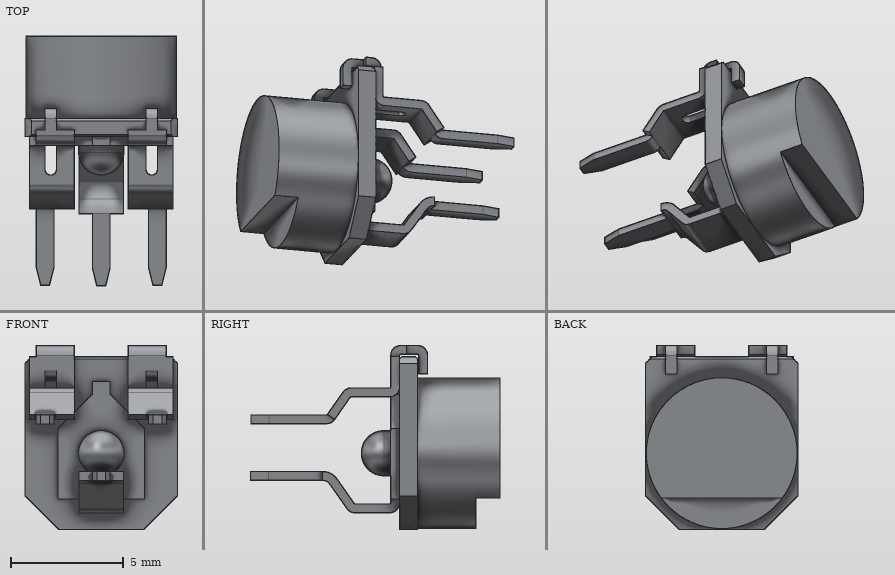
import cadquery as cq
import math


plate_half_width = 3.4
plate_thickness = 0.8
plate_top = 4.3
plate_bottom = -3.4
bottom_chamfer = 1.5
top_corner_chamfer = 0.3
top_edge_chamfer = 0.1

housing_radius = 3.36
housing_depth = 3.68
step_depth = 1.08
step_level = -2.0

sheet = 0.4
inner_bend = 0.05
middle_bend = inner_bend + sheet / 2
outer_bend = inner_bend + sheet
leg_angle = 55.0
sheet_middle = -sheet / 2

pin_width = 0.8
tip_width = 0.4
tip_length = 0.8

tab_inner = 1.2
tab_outer = 3.2
hook_outer = 2.9
side_pin_inner = 2.1
side_leg_z = 2.705
side_pin_z = 1.51
side_leg_corner = 2.29
side_pin_end = 6.62

slot_inner = 2.0
slot_width = 0.5
slot_end = 1.71
slot_round_top = 3.67
hook_middle_z = 4.6
hook_step = 0.3
tongue_bottom = 3.53
tongue_middle = plate_thickness + middle_bend

wiper_half_width = 1.93
wiper_bottom = -2.03
wiper_shoulder = 1.1
wiper_neck = 2.62
wiper_top = 3.2
centre_leg_half_width = 1.0
centre_leg_top = 0.0
centre_leg_z = -2.46
centre_pin_z = -1.015
centre_leg_corner = 2.11
centre_pin_bend = 0.57
shoulder_land = 0.02
centre_pin_end = 6.65

dome_radius = 1.01
dome_centre = -0.7


def tangent_length(radius, turn_degrees):
    """Distance from a corner to the start of the arc that rounds it."""
    return radius * math.tan(math.radians(turn_degrees) / 2)


def toward(start, target, distance):
    """Point at a distance from start on the line to target."""
    length = math.dist(start, target)
    return tuple(s + (t - s) * distance / length for s, t in zip(start, target))


def bent_strip(points, radii, x_min, x_max):
    """Sheet strip whose middle line follows (y, z) points, rounded at each inner point."""
    path = cq.Workplane("YZ", origin=((x_min + x_max) / 2, 0, 0)).moveTo(*points[0])
    for before, corner, after, radius in zip(points, points[1:], points[2:], radii):
        heading_in = math.atan2(corner[1] - before[1], corner[0] - before[0])
        heading_out = math.atan2(after[1] - corner[1], after[0] - corner[0])
        turn = math.remainder(heading_out - heading_in, 2 * math.pi)
        setback = tangent_length(radius, math.degrees(abs(turn)))
        arc_start = toward(corner, before, setback)
        arc_end = toward(corner, after, setback)
        centre_distance = radius / math.cos(turn / 2)
        chord_middle = tuple((a + b) / 2 for a, b in zip(arc_start, arc_end))
        arc_middle = toward(corner, chord_middle, centre_distance - radius)
        path = path.lineTo(*arc_start).threePointArc(arc_middle, arc_end)
    path = path.lineTo(*points[-1])
    start = cq.Vector((x_min + x_max) / 2, *points[0])
    direction = cq.Vector(0, points[1][0] - points[0][0], points[1][1] - points[0][1])
    section_plane = cq.Plane(origin=start, xDir=(1, 0, 0), normal=direction)
    section = cq.Workplane(section_plane).rect(x_max - x_min, sheet)
    return section.sweep(path)


def pin_outline(pin_middle, end_y):
    """Tall prism with the plan shape of a pin that tapers to a blunt tip."""
    taper_y = end_y + tip_length
    outline = [
        (pin_middle - pin_width / 2, 0),
        (pin_middle - pin_width / 2, taper_y),
        (pin_middle - tip_width / 2, end_y),
        (pin_middle + tip_width / 2, end_y),
        (pin_middle + pin_width / 2, taper_y),
        (pin_middle + pin_width / 2, 0),
    ]
    prism_height = plate_top - plate_bottom
    return cq.Workplane("XY", origin=(0, 0, plate_bottom)).polyline(outline).close().extrude(prism_height)


def bent_leg(x_range, pin_middle, top_z, leg_z, pin_z, leg_corner, pin_bend, pin_end, wide_pin_bend):
    """Wide leg that slants to the pin height; its last bend is as wide as the leg or as the pin."""
    slant_run = abs(leg_z - pin_z) / math.tan(math.radians(leg_angle))
    slant_start = (-leg_corner, leg_z)
    pin_corner = (-leg_corner - slant_run, pin_z)
    pin_tip = (-pin_end, pin_z)
    wide_line = [(sheet_middle, top_z), (sheet_middle, leg_z), slant_start]
    pin_line = wide_line + [pin_corner, pin_tip]
    bends = [middle_bend, middle_bend, pin_bend]

    setback = tangent_length(pin_bend, leg_angle)
    if wide_pin_bend:
        wide_line += [pin_corner, toward(pin_corner, pin_tip, setback + shoulder_land)]
    else:
        wide_line += [toward(pin_corner, slant_start, setback)]

    wide_part = bent_strip(wide_line, bends, *x_range)
    pin_range = (pin_middle - pin_width / 2, pin_middle + pin_width / 2)
    pin = bent_strip(pin_line, bends, *pin_range).intersect(pin_outline(pin_middle, -pin_end))
    return wide_part.union(pin)


def base_plate():
    outline = [
        (-plate_half_width, plate_top),
        (-plate_half_width, plate_bottom + bottom_chamfer),
        (-plate_half_width + bottom_chamfer, plate_bottom),
        (plate_half_width - bottom_chamfer, plate_bottom),
        (plate_half_width, plate_bottom + bottom_chamfer),
        (plate_half_width, plate_top),
    ]
    plate = cq.Workplane("XZ").polyline(outline).close().extrude(-plate_thickness)
    plate = plate.faces(">Z").edges("|Y").chamfer(top_corner_chamfer)
    return plate.faces(">Z").edges("|X").chamfer(top_edge_chamfer)


def housing():
    far_end = plate_thickness + housing_depth
    body = cq.Workplane("XZ", origin=(0, plate_thickness, 0)).circle(housing_radius).extrude(-housing_depth)
    step = (
        cq.Workplane("XY")
        .box(2 * housing_radius, step_depth, housing_radius, centered=(True, False, False))
        .translate((0, far_end - step_depth, step_level - housing_radius))
    )
    return body.cut(step)


def slot_cutter():
    """Slot down the tab and along the leg, its upper end rolled over like a bend."""
    roll_centre_y = inner_bend
    roll_end_z = slot_round_top - math.sqrt(outer_bend**2 - roll_centre_y**2)
    roll_angle = math.radians(45)
    roll_middle = (
        roll_centre_y - outer_bend * math.sin(roll_angle),
        slot_round_top - outer_bend * math.cos(roll_angle),
    )
    slot_radius = slot_width / 2
    slot_middle = slot_inner + slot_radius
    slot_floor = side_leg_z - sheet
    round_end_y = -slot_end + slot_radius
    straight_part = (
        cq.Workplane("YZ", origin=(slot_inner, 0, 0))
        .moveTo(0, slot_floor)
        .lineTo(0, roll_end_z)
        .threePointArc(roll_middle, (-sheet, slot_round_top))
        .lineTo(round_end_y, slot_round_top)
        .lineTo(round_end_y, slot_floor)
        .close()
        .extrude(slot_width)
    )
    round_end = (
        cq.Workplane("XY", origin=(slot_middle, round_end_y, slot_floor))
        .circle(slot_radius)
        .extrude(slot_round_top - slot_floor)
    )
    return straight_part.union(round_end)


def side_terminal():
    leg = bent_leg(
        x_range=(tab_inner, tab_outer),
        pin_middle=side_pin_inner + pin_width / 2,
        top_z=plate_top,
        leg_z=side_leg_z,
        pin_z=side_pin_z,
        leg_corner=side_leg_corner,
        pin_bend=middle_bend,
        pin_end=side_pin_end,
        wide_pin_bend=False,
    )
    leg = leg.cut(slot_cutter())
    wide_line = [(sheet_middle, plate_top), (sheet_middle, hook_middle_z), (hook_step, hook_middle_z)]
    wide_hook = bent_strip(wide_line, [middle_bend], tab_inner, hook_outer)
    tongue_line = [(hook_step, hook_middle_z), (tongue_middle, hook_middle_z), (tongue_middle, tongue_bottom)]
    tongue = bent_strip(tongue_line, [middle_bend], slot_inner, slot_inner + slot_width)
    return leg.union(wide_hook).union(tongue)


def centre_terminal():
    neck_half_width = pin_width / 2
    outline = [
        (-wiper_half_width, wiper_bottom),
        (-wiper_half_width, wiper_shoulder),
        (-neck_half_width, wiper_neck),
        (-neck_half_width, wiper_top),
        (neck_half_width, wiper_top),
        (neck_half_width, wiper_neck),
        (wiper_half_width, wiper_shoulder),
        (wiper_half_width, wiper_bottom),
    ]
    wiper = cq.Workplane("XZ").polyline(outline).close().extrude(sheet)
    leg = bent_leg(
        x_range=(-centre_leg_half_width, centre_leg_half_width),
        pin_middle=0,
        top_z=centre_leg_top,
        leg_z=centre_leg_z,
        pin_z=centre_pin_z,
        leg_corner=centre_leg_corner,
        pin_bend=centre_pin_bend,
        pin_end=centre_pin_end,
        wide_pin_bend=True,
    )
    return wiper.union(leg)


def dome():
    post = cq.Workplane("XZ").circle(dome_radius).extrude(-dome_centre)
    ball = cq.Workplane("XY").sphere(dome_radius).translate((0, dome_centre, 0))
    front_half = (
        cq.Workplane("XZ", origin=(0, dome_centre, 0))
        .rect(2 * dome_radius, 2 * dome_radius)
        .extrude(dome_radius)
    )
    return post.union(ball.intersect(front_half))


right_terminal = side_terminal()
result = (
    base_plate()
    .union(housing())
    .union(centre_terminal())
    .union(dome())
    .union(right_terminal)
    .union(right_terminal.mirror("YZ"))
)